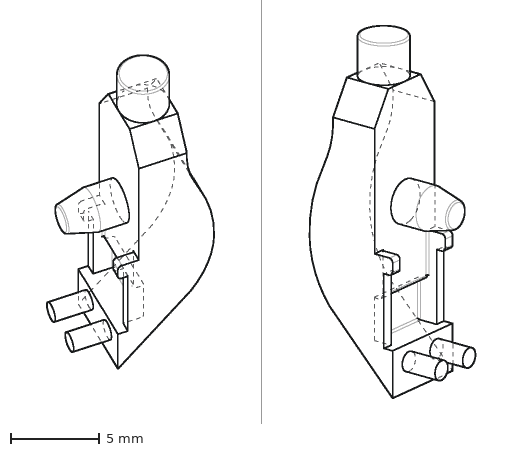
import cadquery as cq
import math

width = 5.53
total_height = 20.57
half_width = width / 2
neck_depth = 2.98
shoulder_low = 16.02
shoulder_top = 18.06

bulge_depth = 4.67
bulge_height = 8.43
neck_curve_start = 15.53
neck_curve_mid = (3.1, 14.52)
neck_curve_end = (3.4, 13.58)
bulge_start = (4.15, 11.72)
bulge_upper_mid = (4.55, 10.18)
bulge_lower_mid = (4.25, 6.31)
ramp_start = (3.23, 4.53)

foot_front = -1.3
foot_top = 2.88
rail_front = -0.68
rail_width = 0.68
hook_bottom = 7.4
hook_top = 8.45
hook_round = 0.25

pocket_width = width - 2 * rail_width
pocket_depth = 0.62
pocket_top = 5.47
step_round = 0.25
pocket_round = 0.12

button_diameter = neck_depth
button_round = 0.12

front_tip = bulge_depth - 8.3
peg_x = 0.08
peg_z = 10.78
peg_radius = 1.34
peg_tip_radius = 0.86
peg_taper_start = -1.79
peg_tip_round = 0.12

pin_spacing = 2.55
pin_diameter = 1.2
pin_z = 1.79


def side_prism(profile, prism_width):
    """Extrude a closed YZ outline symmetrically about x = 0."""
    return profile.close().extrude(prism_width / 2, both=True)


def make_body():
    profile = (
        cq.Workplane("YZ")
        .moveTo(0, shoulder_top)
        .lineTo(neck_depth, shoulder_top)
        .lineTo(neck_depth, neck_curve_start)
        .threePointArc(neck_curve_mid, neck_curve_end)
        .lineTo(*bulge_start)
        .threePointArc(bulge_upper_mid, (bulge_depth, bulge_height))
        .threePointArc(bulge_lower_mid, ramp_start)
        .lineTo(foot_front, 0)
        .lineTo(foot_front, foot_top)
        .lineTo(rail_front, foot_top)
        .lineTo(rail_front, hook_bottom)
        .lineTo(foot_front, hook_bottom)
        .lineTo(foot_front, hook_top)
        .lineTo(0, hook_top)
    )
    body = side_prism(profile, width)
    hook_edges = cq.selectors.BoxSelector(
        (-width, foot_front - 0.02, hook_bottom - 0.02),
        (width, foot_front + 0.02, hook_top + 0.02),
    )
    return body.edges("|X").edges(hook_edges).fillet(hook_round)


def cut_shoulders(body):
    """Slope both sides of the top down from the button width."""
    for side in (-1, 1):
        wedge = (
            cq.Workplane("XZ")
            .moveTo(side * button_diameter / 2, shoulder_top)
            .lineTo(side * half_width, shoulder_top)
            .lineTo(side * half_width, shoulder_low)
            .close()
            .extrude(-neck_depth)
        )
        body = body.cut(wedge)
    return body


def cut_recesses(body):
    """Cut the channel between the rails and the deeper pocket at its lower end."""
    opening = 2 * foot_front
    above_hooks = hook_top + hook_round
    step_top = pocket_top + step_round
    arc_inset = step_round * (1 - math.sqrt(0.5))

    channel = (
        cq.Workplane("YZ")
        .moveTo(opening, step_top)
        .lineTo(0, step_top)
        .lineTo(0, above_hooks)
        .lineTo(opening, above_hooks)
    )
    channel = side_prism(channel, pocket_width).faces(">Y").edges("|Z").fillet(pocket_round)

    pocket = (
        cq.Workplane("YZ")
        .moveTo(opening, foot_top)
        .lineTo(pocket_depth, foot_top)
        .lineTo(pocket_depth, pocket_top)
        .lineTo(step_round, pocket_top)
        .threePointArc((arc_inset, pocket_top + arc_inset), (0, step_top))
        .lineTo(opening, step_top)
    )
    pocket = side_prism(pocket, pocket_width)
    pocket = pocket.faces(">Y").edges("|Z or (|X and <Z)").fillet(pocket_round)
    return body.cut(channel).cut(pocket)


def make_button():
    return (
        cq.Workplane("XY", origin=(0, neck_depth / 2, shoulder_top))
        .circle(button_diameter / 2)
        .extrude(total_height - shoulder_top)
        .faces(">Z")
        .edges()
        .fillet(button_round)
    )


def make_peg():
    return (
        cq.Workplane("XY")
        .lineTo(peg_radius, 0)
        .lineTo(peg_radius, peg_taper_start)
        .lineTo(peg_tip_radius, front_tip)
        .lineTo(0, front_tip)
        .close()
        .revolve(360, (0, 0), (0, 1))
        .faces("<Y")
        .edges()
        .fillet(peg_tip_round)
        .translate((peg_x, 0, peg_z))
    )


def make_pins():
    return (
        cq.Workplane("XZ", origin=(0, foot_front, pin_z))
        .pushPoints([(-pin_spacing / 2, 0), (pin_spacing / 2, 0)])
        .circle(pin_diameter / 2)
        .extrude(foot_front - front_tip)
    )


result = cut_recesses(cut_shoulders(make_body()))
result = result.union(make_button()).union(make_peg()).union(make_pins())